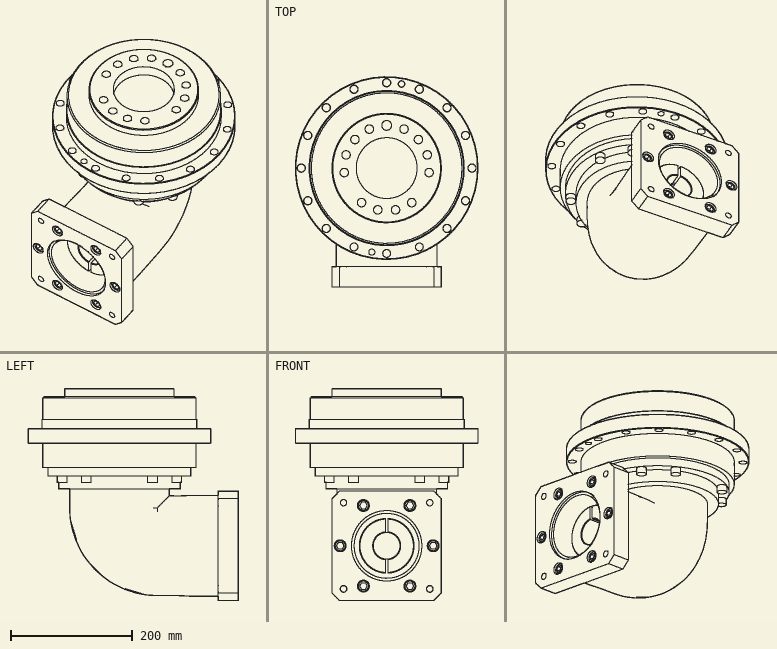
import cadquery as cq
import math


total_height = 348.5
total_depth = 345.5
flange_dia = 300.0

plate_size = 180.0
plate_thickness = 33.5
plate_chamfer = 12.5
top_z = total_height - plate_size / 2
front_y = flange_dia / 2 - total_depth
plate_hole_spacing = 141.5
plate_hole_dia = 10.5

hub_dia = 180.0
hub_height = 14.0
hub_chamfer = 1.5
body_dia = 252.0
body_height = 37.0
body_chamfer = 2.5
shoulder_dia = 254.8
shoulder_height = 15.0
flange_height = 24.7
flange_chamfer = 1.0
lower_body_height = 39.7
cover_dia = 235.0
cover_height = 14.0
collar_dia = 200.0
collar_height = 21.0

body_top_z = top_z - hub_height
shoulder_top_z = body_top_z - body_height
flange_top_z = shoulder_top_z - shoulder_height
flange_bottom_z = flange_top_z - flange_height
cover_top_z = flange_bottom_z - lower_body_height
collar_top_z = cover_top_z - cover_height
collar_bottom_z = collar_top_z - collar_height

hub_bore_dia = 100.0
hub_bore_depth = 20.0
hub_circle_dia = 140.0
hub_hole_dia = 14.0
hub_hole_depth = 21.0
drill_point_angle = 118
pin_hole_dia = 16.0
pin_hole_depth = 17.5
hub_pitch_count = 15
hub_empty_pitches = (5, 10)

flange_circle_dia = 280.2
flange_hole_dia = 13.0
flange_hole_count = 16
jack_hole_dia = 10.0
jack_hole_angles = (80, 260)

cover_screw_circle_dia = 217.5
cover_screw_dia = 16.0
cover_screw_height = 10.0
cover_screw_angles = [quadrant + offset for quadrant in (0, 90, 180, 270) for offset in (30, 60)]

pipe_dia = 163.8
straight_dia = 166.0
straight_start_y = -116.7
bend_radius = 62.5

pilot_dia = 115.7
pilot_depth = 5.0
opening_dia = 106.5
opening_depth = 62.7
clamp_recess = 38.5
clamp_dia = 90.0
clamp_bore_dia = 44.0
clamp_bore_depth = 48.8
clamp_chamfer = 1.0
clamp_slot_width = 4.5

plate_screw_circle_dia = 152.5
plate_screw_count = 6
counterbore_dia = 19.5
screw_head_dia = 16.5
screw_head_height = 14.0
screw_recess = 2.8
socket_flats = 10.8
socket_depth = 7.0


def polar(circle_dia, angle):
    """Point on a circle at an angle in degrees, counted from +X."""
    turn = math.radians(angle)
    return (circle_dia / 2 * math.cos(turn), circle_dia / 2 * math.sin(turn))


def disc(diameter, top, bottom):
    """Cylinder on the Z axis between two heights."""
    return cq.Workplane("XY").workplane(offset=bottom).circle(diameter / 2).extrude(top - bottom)


def at_depth(depth):
    """Workplane parallel to the plate front, a depth inside it, facing the motor."""
    return cq.Workplane("XZ", origin=(0, front_y + depth, 0))


def make_housing():
    hub = disc(hub_dia, top_z, body_top_z).faces(">Z").chamfer(hub_chamfer)
    body = disc(body_dia, body_top_z, cover_top_z).faces(">Z").chamfer(body_chamfer)
    shoulder = disc(shoulder_dia, shoulder_top_z, flange_top_z)
    flange = disc(flange_dia, flange_top_z, flange_bottom_z).edges().chamfer(flange_chamfer)
    cover = disc(cover_dia, cover_top_z, collar_top_z)
    collar = disc(collar_dia, collar_top_z, collar_bottom_z)
    return hub.union(body).union(shoulder).union(flange).union(cover).union(collar)


def make_cover_screws():
    points = [polar(cover_screw_circle_dia, angle) for angle in cover_screw_angles]
    plane = cq.Workplane("XY").workplane(offset=collar_top_z)
    return plane.pushPoints(points).circle(cover_screw_dia / 2).extrude(-cover_screw_height)


def make_elbow():
    """Quarter bend joining a vertical and a horizontal pipe.

    The bend is tighter than the pipe radius, so the turned section is cut
    off at the bend axis and the two pipes meet in a sharp inner corner.
    """
    pipe_radius = pipe_dia / 2
    half_chord = math.sqrt(pipe_radius**2 - bend_radius**2)
    bend = (
        cq.Workplane("XY", origin=(0, 0, bend_radius))
        .moveTo(-half_chord, -bend_radius)
        .threePointArc((0, pipe_radius), (half_chord, -bend_radius))
        .close()
        .revolve(90, (3.5, -bend_radius, 0), (-3.5, -bend_radius, 0))
    )
    vertical = disc(pipe_dia, collar_top_z, bend_radius)
    straight_radius = straight_dia / 2
    horizontal = (
        cq.Workplane("XY")
        .moveTo(0, -bend_radius)
        .lineTo(pipe_radius, -bend_radius)
        .lineTo(straight_radius, straight_start_y)
        .lineTo(straight_radius, front_y + plate_thickness)
        .lineTo(0, front_y + plate_thickness)
        .close()
        .revolve(360, (0, 0, 0), (0, 1, 0))
    )
    bend = cq.Workplane(bend.val().toNURBS())
    return bend.union(vertical).union(horizontal)


def make_plate():
    block = at_depth(0).rect(plate_size, plate_size).extrude(-plate_thickness)
    return block.edges("|Y").chamfer(plate_chamfer)


def cut_hub_holes(part):
    bore = disc(hub_bore_dia, top_z, top_z - hub_bore_depth)
    pin_point = polar(hub_circle_dia, 90)
    pin_hole = disc(pin_hole_dia, top_z, top_z - pin_hole_depth).translate((*pin_point, 0))
    part = part.cut(bore).cut(pin_hole)

    hole_radius = hub_hole_dia / 2
    tip_depth = hub_hole_depth + hole_radius / math.tan(math.radians(drill_point_angle / 2))
    drill = (
        cq.Workplane("XZ", origin=(0, 0, top_z))
        .polyline([(0, 0), (hole_radius, 0), (hole_radius, -hub_hole_depth), (0, -tip_depth)])
        .close()
        .revolve(360, (0, 0, 0), (0, 1, 0))
    )
    for step in range(1, hub_pitch_count):
        if step not in hub_empty_pitches:
            point = polar(hub_circle_dia, 90 + step * 360 / hub_pitch_count)
            part = part.cut(drill.translate((*point, 0)))
    return part


def cut_flange_holes(part):
    plane = cq.Workplane("XY").workplane(offset=flange_bottom_z)
    pitch = 360 / flange_hole_count
    bolt_points = [polar(flange_circle_dia, step * pitch) for step in range(flange_hole_count)]
    jack_points = [polar(flange_circle_dia, angle) for angle in jack_hole_angles]
    bolt_holes = plane.pushPoints(bolt_points).circle(flange_hole_dia / 2).extrude(flange_height)
    jack_holes = plane.pushPoints(jack_points).circle(jack_hole_dia / 2).extrude(flange_height)
    return part.cut(bolt_holes).cut(jack_holes)


def make_clamp_ring():
    length = opening_depth - clamp_recess
    ring = at_depth(opening_depth).circle(clamp_dia / 2).circle(clamp_bore_dia / 2).extrude(length)
    ring = ring.faces("<Y").chamfer(clamp_chamfer)
    slot = at_depth(opening_depth).rect(clamp_slot_width, clamp_dia).extrude(length)
    return ring.cut(slot)


def cut_motor_opening(part):
    pilot = at_depth(0).circle(pilot_dia / 2).extrude(-pilot_depth)
    opening = at_depth(0).circle(opening_dia / 2).extrude(-opening_depth)
    clamp_bore_end = clamp_recess + clamp_bore_depth
    bore = at_depth(0).circle(clamp_bore_dia / 2).extrude(-clamp_bore_end)
    return part.cut(pilot).cut(opening).cut(bore).union(make_clamp_ring())


def cut_plate_holes(part):
    spacing = plate_hole_spacing
    holes = at_depth(0).rect(spacing, spacing, forConstruction=True).vertices()
    return part.cut(holes.circle(plate_hole_dia / 2).extrude(-plate_thickness))


def add_plate_screws(part):
    pitch = 360 / plate_screw_count
    points = [polar(plate_screw_circle_dia, step * pitch) for step in range(plate_screw_count)]
    seat_depth = screw_recess + screw_head_height
    socket_corners = socket_flats / math.cos(math.pi / 6)
    counterbores = at_depth(0).pushPoints(points).circle(counterbore_dia / 2).extrude(-seat_depth)
    heads = at_depth(seat_depth).pushPoints(points).circle(screw_head_dia / 2).extrude(screw_head_height)
    sockets = at_depth(screw_recess).pushPoints(points).polygon(6, socket_corners).extrude(-socket_depth)
    return part.cut(counterbores).union(heads.cut(sockets))


unit = make_housing().union(make_cover_screws()).union(make_elbow()).union(make_plate())
unit = cut_hub_holes(unit)
unit = cut_flange_holes(unit)
unit = cut_motor_opening(unit)
unit = cut_plate_holes(unit)
result = add_plate_screws(unit)